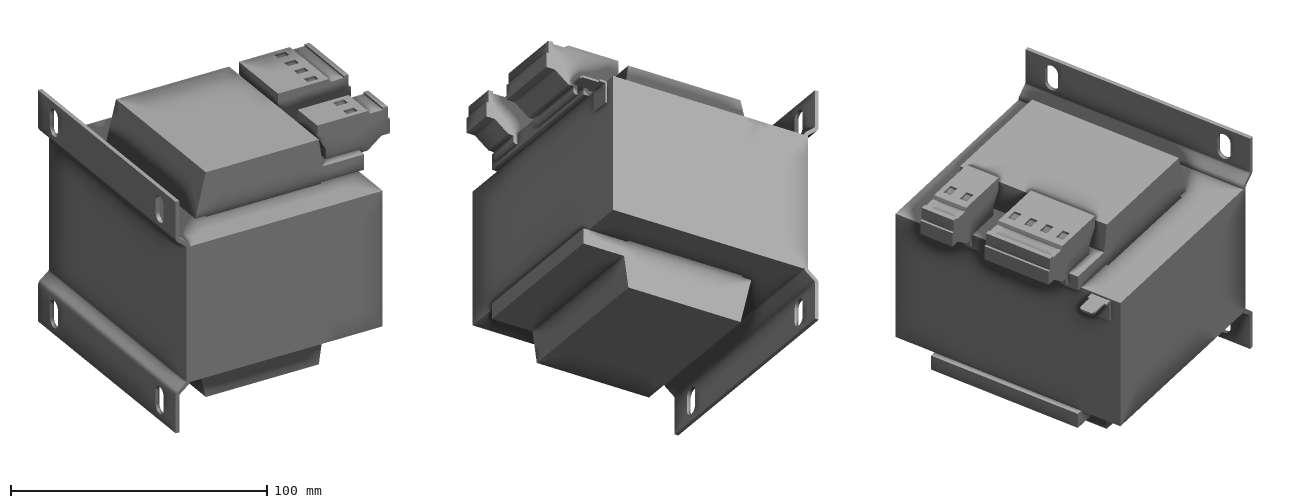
import cadquery as cq
import math


core_width = 105.0
core_front = 6.7
core_back = 94.2
core_height = 60.5
core_bottom = 21.1
core_top = core_bottom + core_height
window_width = 70.5
window_front = 24.0
window_back = 76.5

plate_height = 103.4
mid_z = plate_height / 2
plate_thickness = 1.7
joggle_depth = core_front - plate_thickness
joggle_start = 17.5
joggle_rise = 4.0
bend_inner_radius = 1.1
bend_outer_radius = bend_inner_radius + plate_thickness
slot_width = 6.0
slot_length = 12.0
slot_edge_distance = 9.0
slot_spacing = 80.5

bobbin_width = 68.5
bobbin_front = 19.7
end_face_front = 24.6
end_face_back = 76.0
neck_back = 78.0
flange_back = 96.6
flange_thickness = 6.9
bobbin_top = 100.9
bobbin_bottom = 0.5
flange_top = core_top + flange_thickness

terminal_width = 15.0
terminal_left_sides = (-2 * terminal_width, -terminal_width, terminal_width)
terminal_back = 110.9
terminal_top = 104.6
terminal_front = 77.9
terminal_foot_front = 81.7
foot_slope_bottom = 93.0
foot_slope_top = 99.1
ledge_front = 101.9
ledge_slope = 0.9
ledge_z = 103.1
lip_front = 107.8
lip_back = 109.9
lip_top = 104.0
back_pad_top = 98.4
back_pad_bottom = 91.8
underside_back = 107.0
underside_front = 100.8
underside_bottom = 87.0
hook_back = 98.5
hook_bottom = 83.5
hook_bevel_width = 0.9
hook_bevel_height = 0.7
entry_width = 3.2
entry_length = 5.0
entry_depth = 1.0
entry_spacing = 7.5
entry_y = 95.0

lug_x = -43.8
lug_thickness = 0.9
lug_top = 81.3
lug_bottom = 71.5
lug_base_width = 8.7
lug_base_back = 97.6
lug_tab_width = 6.7
lug_tip = 105.5
lug_tip_chamfer = 1.0


def extrude_across(outline, left, width):
    """Extrude a closed (Y, Z) outline along +X, starting at x = left."""
    return cq.Workplane("YZ", origin=(left, 0, 0)).polyline(outline).close().extrude(width)


def box_between(x_range, y_range, z_range):
    """Box spanning the given limits on each axis."""
    lengths = [high - low for low, high in (x_range, y_range, z_range)]
    corner = (x_range[0], y_range[0], z_range[0])
    return cq.Workplane("XY").box(*lengths, centered=False).translate(corner)


def centred_range(middle, length):
    return (middle - length / 2, middle + length / 2)


def make_core():
    heights = (core_bottom, core_top)
    core = box_between(centred_range(0, core_width), (core_front, core_back), heights)
    window = box_between(centred_range(0, window_width), (window_front, window_back), heights)
    return core.cut(window)


def make_plate():
    bend_angle = math.atan2(joggle_depth, joggle_rise)
    mitre = plate_thickness * math.tan(bend_angle / 2)
    joggle_end = joggle_start + joggle_rise

    front_low = (0, joggle_start)
    front_high = (joggle_depth, joggle_end)
    rear_low = (plate_thickness, joggle_start - mitre)
    rear_high = (core_front, joggle_end - mitre)

    outline = [
        (0, 0),
        front_low,
        front_high,
        (joggle_depth, mid_z),
        (core_front, mid_z),
        rear_high,
        rear_low,
        (plate_thickness, 0),
    ]
    half = extrude_across(outline, -core_width / 2, core_width)
    bends = (
        (front_low, bend_outer_radius),
        (front_high, bend_inner_radius),
        (rear_low, bend_inner_radius),
        (rear_high, bend_outer_radius),
    )
    for (y, z), radius in bends:
        half = half.edges(cq.selectors.NearestToPointSelector((0, y, z))).fillet(radius)

    slots = (
        cq.Workplane("XZ")
        .pushPoints([(-slot_spacing / 2, slot_edge_distance), (slot_spacing / 2, slot_edge_distance)])
        .slot2D(slot_length, slot_width, 90)
        .extrude(-plate_thickness)
    )
    half = half.cut(slots)
    return half.union(half.mirror("XY", (0, 0, mid_z)))


def make_bobbin():
    outline = [
        (bobbin_front, core_bottom),
        (bobbin_front, core_top),
        (end_face_front, bobbin_top),
        (end_face_back, bobbin_top),
        (neck_back, flange_top),
        (flange_back, flange_top),
        (flange_back, core_top),
        (window_back, core_top),
        (window_back, core_bottom),
        (flange_back, core_bottom),
        (flange_back, core_bottom - flange_thickness),
        (neck_back, core_bottom - flange_thickness),
        (end_face_back, bobbin_bottom),
        (end_face_front, bobbin_bottom),
    ]
    return extrude_across(outline, -bobbin_width / 2, bobbin_width)


def make_terminal(left):
    outline = [
        (terminal_front, terminal_top),
        (ledge_front - ledge_slope, terminal_top),
        (ledge_front, ledge_z),
        (lip_front, ledge_z),
        (lip_front, lip_top),
        (lip_back, lip_top),
        (lip_back, back_pad_top),
        (terminal_back, back_pad_top),
        (terminal_back, back_pad_bottom),
        (underside_back, back_pad_bottom),
        (underside_front, underside_bottom),
        (hook_back, underside_bottom),
        (hook_back, hook_bottom + hook_bevel_height),
        (hook_back - hook_bevel_width, hook_bottom),
        (flange_back, hook_bottom),
        (flange_back, flange_top),
        (terminal_foot_front, flange_top),
        (terminal_foot_front, foot_slope_bottom),
        (terminal_front, foot_slope_top),
    ]
    terminal = extrude_across(outline, left, terminal_width)
    middle = left + terminal_width / 2
    for entry_x in centred_range(middle, entry_spacing):
        entry = box_between(
            centred_range(entry_x, entry_width),
            centred_range(entry_y, entry_length),
            (terminal_top - entry_depth, terminal_top),
        )
        terminal = terminal.cut(entry)
    return terminal


def make_lug():
    leg_back = core_back + lug_thickness
    base_sides = centred_range(lug_x, lug_base_width)
    blade_heights = (lug_top - lug_thickness, lug_top)

    leg = box_between(base_sides, (core_back, leg_back), (lug_bottom, lug_top))
    base = box_between(base_sides, (core_back, lug_base_back), blade_heights)
    tab = box_between(centred_range(lug_x, lug_tab_width), (leg_back, lug_tip), blade_heights)
    tab = tab.edges("|Z and >Y").chamfer(lug_tip_chamfer)

    angle = leg.union(base)
    angle = angle.edges("|X and <Y and >Z").fillet(lug_thickness)
    return angle.union(tab)


result = make_core().union(make_plate()).union(make_bobbin()).union(make_lug())
for terminal_left in terminal_left_sides:
    result = result.union(make_terminal(terminal_left))